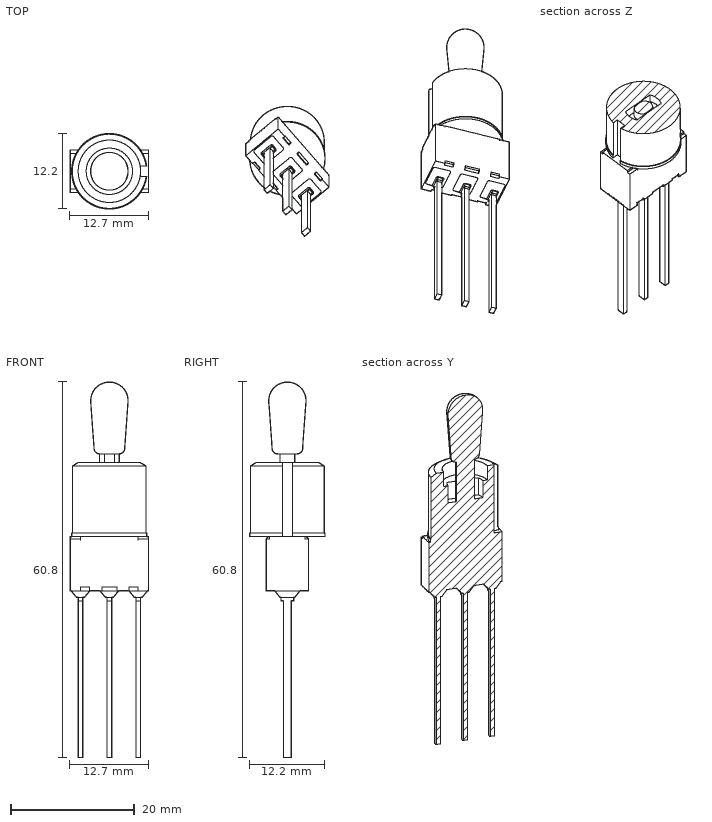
import cadquery as cq
import math


LEVER_TOP_Z = 25.0
GRIP_TOP_RADIUS = 3.05
GRIP_BALL_Z = LEVER_TOP_Z - GRIP_TOP_RADIUS
GRIP_TAPER_END_Z = 14.3
GRIP_BOTTOM_RADIUS = 2.5
GRIP_ROUND = 0.95
GRIP_BOTTOM_Z = GRIP_TAPER_END_Z - GRIP_ROUND
STEM_HALF_LENGTH = 1.6
STEM_HALF_THICKNESS = 1.22
STEM_FLAT_HALF_LENGTH = 0.8

BUSHING_HEIGHT = 12.0
BUSHING_RADIUS = 6.0
BUSHING_TOP_RADIUS = 5.05
BUSHING_CHAMFER_HEIGHT = 0.6
FLANGE_RADIUS = 6.11
FLANGE_HEIGHT = 0.55
BORE_DIAMETER = 7.5
BORE_DEPTH = 2.5
LEVER_SLOT_RADIUS = 3.0
STEM_SIDE_CLEARANCE = 0.05
LEVER_SLOT_WIDTH = 2 * (STEM_HALF_THICKNESS + STEM_SIDE_CLEARANCE)
LEVER_SLOT_DEPTH = 3.0
LEVER_SLOT_FLOOR_Z = BUSHING_HEIGHT - BORE_DEPTH - LEVER_SLOT_DEPTH
KEYWAY_FLOOR_X = 5.03
KEYWAY_WIDTH = 1.65

HOUSING_LENGTH = 12.7
HOUSING_WIDTH = 6.9
HOUSING_HEIGHT = 8.8
COVER_THICKNESS = 0.4
COVER_BEND_RADIUS = 0.58
COVER_LENGTH = 9.34
COVER_HEIGHT = 8.2
COVER_TOP_WIDTH = HOUSING_WIDTH - 2 * COVER_BEND_RADIUS
TAB_LENGTH = 2.0
TAB_CENTER_X = 2.2
TAB_ROUND = 0.38

PIN_PITCH = 4.67
PIN_THICKNESS = 0.8
PIN_WIDTH = 1.3
PIN_TIP_Z = -35.75
SHOULDER_WIDTH = 2.1
SHOULDER_BOTTOM_Z = -10.4
SEAL_LENGTH = 4.1
SEAL_WIDTH = 3.0
SEAL_HEIGHT = 1.05
SEAL_INSET = 0.85
SEAL_CORNER_RADIUS = 0.4


def block(length, width, bottom_z, top_z, x=0, y=0):
    """Upright box centred on (x, y) between two heights."""
    return (
        cq.Workplane("XY", origin=(x, y, bottom_z))
        .box(length, width, top_z - bottom_z, centered=(True, True, False))
    )


def make_lever():
    round_mid = GRIP_ROUND * math.sqrt(0.5)
    round_center_radius = GRIP_BOTTOM_RADIUS - GRIP_ROUND
    ball_mid = GRIP_TOP_RADIUS * math.sqrt(0.5)
    grip = (
        cq.Workplane("XZ")
        .moveTo(0, GRIP_BOTTOM_Z)
        .lineTo(round_center_radius, GRIP_BOTTOM_Z)
        .threePointArc(
            (round_center_radius + round_mid, GRIP_TAPER_END_Z - round_mid),
            (GRIP_BOTTOM_RADIUS, GRIP_TAPER_END_Z),
        )
        .lineTo(GRIP_TOP_RADIUS, GRIP_BALL_Z)
        .threePointArc((ball_mid, GRIP_BALL_Z + ball_mid), (0, LEVER_TOP_Z))
        .close()
        .revolve(360, (0, 0, 0), (0, 1, 0))
    )
    stem = (
        cq.Workplane("XY", origin=(0, 0, LEVER_SLOT_FLOOR_Z))
        .moveTo(-STEM_FLAT_HALF_LENGTH, -STEM_HALF_THICKNESS)
        .lineTo(STEM_FLAT_HALF_LENGTH, -STEM_HALF_THICKNESS)
        .threePointArc((STEM_HALF_LENGTH, 0), (STEM_FLAT_HALF_LENGTH, STEM_HALF_THICKNESS))
        .lineTo(-STEM_FLAT_HALF_LENGTH, STEM_HALF_THICKNESS)
        .threePointArc((-STEM_HALF_LENGTH, 0), (-STEM_FLAT_HALF_LENGTH, -STEM_HALF_THICKNESS))
        .close()
        .extrude(GRIP_TAPER_END_Z - LEVER_SLOT_FLOOR_Z)
    )
    return grip.union(stem)


def make_bushing():
    sleeve = (
        cq.Workplane("XZ")
        .polyline([
            (0, 0),
            (FLANGE_RADIUS, 0),
            (FLANGE_RADIUS, FLANGE_HEIGHT),
            (BUSHING_RADIUS, FLANGE_HEIGHT),
            (BUSHING_RADIUS, BUSHING_HEIGHT - BUSHING_CHAMFER_HEIGHT),
            (BUSHING_TOP_RADIUS, BUSHING_HEIGHT),
            (0, BUSHING_HEIGHT),
        ])
        .close()
        .revolve(360, (0, 0, 0), (0, 1, 0))
    )
    bore = (
        cq.Workplane("XY", origin=(0, 0, BUSHING_HEIGHT - BORE_DEPTH))
        .circle(BORE_DIAMETER / 2)
        .extrude(BORE_DEPTH)
    )
    lever_slot = (
        cq.Workplane("XY", origin=(0, 0, LEVER_SLOT_FLOOR_Z))
        .circle(LEVER_SLOT_RADIUS)
        .extrude(LEVER_SLOT_DEPTH)
        .intersect(block(2 * LEVER_SLOT_RADIUS, LEVER_SLOT_WIDTH, LEVER_SLOT_FLOOR_Z, BUSHING_HEIGHT))
    )
    keyway_length = 2 * (FLANGE_RADIUS - KEYWAY_FLOOR_X)
    keyway = block(keyway_length, KEYWAY_WIDTH, 0, BUSHING_HEIGHT, x=KEYWAY_FLOOR_X + keyway_length / 2)
    return sleeve.cut(bore).cut(lever_slot).cut(keyway)


def make_cover():
    top_plate = block(HOUSING_LENGTH, COVER_TOP_WIDTH, -COVER_THICKNESS, 0)
    cover = (
        block(COVER_LENGTH, HOUSING_WIDTH, -COVER_HEIGHT, 0)
        .edges("|X and >Z")
        .fillet(COVER_BEND_RADIUS)
        .union(top_plate)
    )
    for x in (-TAB_CENTER_X, TAB_CENTER_X):
        tab_pair = (
            block(TAB_LENGTH, HOUSING_WIDTH, -HOUSING_HEIGHT, -COVER_THICKNESS - COVER_BEND_RADIUS, x=x)
            .edges("|X and <Z")
            .fillet(TAB_ROUND)
        )
        cover = cover.union(tab_pair)
    return cover


def make_housing():
    body = block(HOUSING_LENGTH, HOUSING_WIDTH, -HOUSING_HEIGHT, -COVER_THICKNESS)
    recess_y = (HOUSING_WIDTH - COVER_THICKNESS) / 2
    for y in (-recess_y, recess_y):
        body = body.cut(block(COVER_LENGTH, COVER_THICKNESS, -HOUSING_HEIGHT, -COVER_THICKNESS, y=y))
    return body.union(make_cover())


def make_terminal(x):
    seal_taper = math.degrees(math.atan(SEAL_INSET / SEAL_HEIGHT))
    seal = (
        cq.Workplane("XY", origin=(x, 0, -HOUSING_HEIGHT))
        .rect(SEAL_WIDTH, SEAL_LENGTH)
        .extrude(-SEAL_HEIGHT, taper=seal_taper)
        .edges("not(|X or |Y)")
        .fillet(SEAL_CORNER_RADIUS)
    )
    shoulder = block(PIN_THICKNESS, SHOULDER_WIDTH, SHOULDER_BOTTOM_Z, -HOUSING_HEIGHT, x=x)
    pin = block(PIN_THICKNESS, PIN_WIDTH, PIN_TIP_Z, -HOUSING_HEIGHT, x=x)
    return seal.union(shoulder).union(pin)


result = make_housing().union(make_bushing()).union(make_lever())
for pin_x in (-PIN_PITCH, 0, PIN_PITCH):
    result = result.union(make_terminal(pin_x))